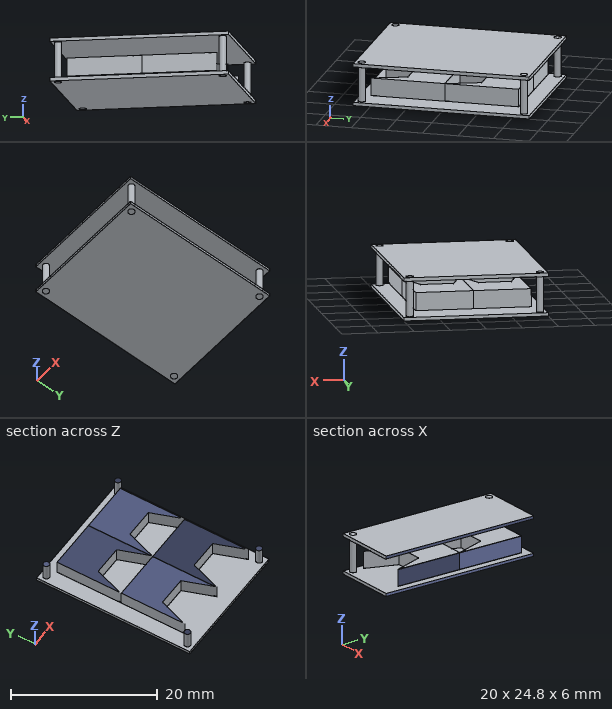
import cadquery as cq

plate_width = 20.0
plate_length = 24.8
plate_thickness = 0.5
total_height = 6.0

pin_diameter = 1
pin_inset = 1

columns = 2
rows = 2
block_margin = 2.0
block_width = (plate_width - 2 * block_margin) / columns
block_length = (plate_length - 2 * block_margin) / rows
block_height = 2.5
block_bottom = 1.02
notch_depth = 4.73
notch_side_run = 1.7

pin_places = [
    (x, y)
    for x in (pin_inset, plate_width - pin_inset)
    for y in (pin_inset, plate_length - pin_inset)
]


def make_plate(bottom):
    """Rectangular plate with a hole for each corner pin."""
    plate = cq.Workplane("XY").box(plate_width, plate_length, plate_thickness, centered=False)
    holes = cq.Workplane("XY").pushPoints(pin_places).circle(pin_diameter / 2).extrude(plate_thickness)
    return plate.cut(holes).translate((0, 0, bottom))


def make_pin(x, y):
    """Straight pin, flush with the outer faces of both plates."""
    return cq.Workplane("XY").center(x, y).circle(pin_diameter / 2).extrude(total_height)


def make_block(column, row):
    """Block whose -Y side has a tapered notch that opens to its full width."""
    x = block_margin + column * block_width
    y = block_margin + row * block_length
    outline = [
        (0, 0),
        (notch_side_run, notch_depth),
        (block_width - notch_side_run, notch_depth),
        (block_width, 0),
        (block_width, block_length),
        (0, block_length),
    ]
    block = cq.Workplane("XY").polyline(outline).close().extrude(block_height)
    return block.translate((x, y, block_bottom))


bottom_plate = make_plate(0)
top_plate = make_plate(total_height - plate_thickness)
pins = [make_pin(x, y) for x, y in pin_places]
blocks = [make_block(column, row) for column in range(columns) for row in range(rows)]

result = cq.Compound.makeCompound([
    bottom_plate.val(),
    top_plate.val(),
    *[pin.val() for pin in pins],
    *[block.val() for block in blocks],
])